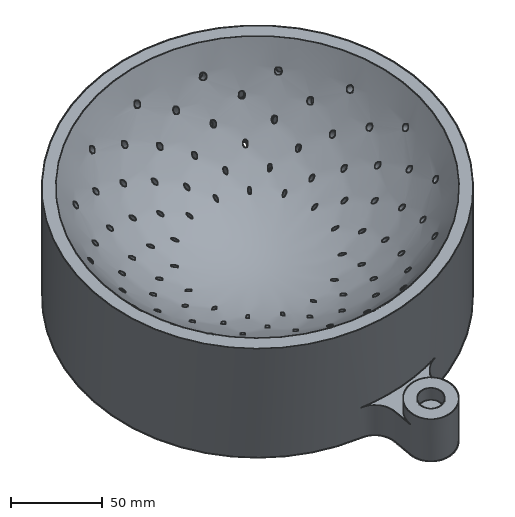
import cadquery as cq
import math

body_diameter = 235.0
body_height = 90.0
bowl_rim_diameter = 219.8
bowl_radius = 127.0
rim_radius = bowl_rim_diameter / 2
bowl_center_z = body_height + math.sqrt(bowl_radius**2 - rim_radius**2)

cavity_diameter = 225.0
bowl_thickness = 10.0

holes_per_ring = 15
ring_count = 6
first_ring_angle = 21.3
ring_angle_step = 6
hole_span = 2.3
hole_length = 4.5
hole_twist = -0.6
hole_overrun = 1.5

total_length = 274
ear_width = 30.5
ear_height = 25.0
boss_height = 34.8
boss_bore_diameter = 15.0
ear_fillet_radius = 15.0
ear_end_radius = ear_width / 2
body_radius = body_diameter / 2
boss_x = total_length - body_radius - ear_end_radius


def make_body():
    return cq.Workplane("XY").circle(body_radius).extrude(body_height)


def make_ear():
    """Rounded tongue that blends into the body wall with a concave arc on each side."""
    blend_y = ear_end_radius + ear_fillet_radius
    blend_x = math.sqrt((body_radius + ear_fillet_radius) ** 2 - blend_y**2)
    blend_angle = math.atan2(blend_y, blend_x)
    contact_x = body_radius * math.cos(blend_angle)
    contact_y = body_radius * math.sin(blend_angle)
    middle_angle = (math.pi + blend_angle + 1.5 * math.pi) / 2
    middle_x = blend_x + ear_fillet_radius * math.cos(middle_angle)
    middle_y = blend_y + ear_fillet_radius * math.sin(middle_angle)
    return (
        cq.Workplane("XY")
        .moveTo(0, -contact_y)
        .lineTo(contact_x, -contact_y)
        .threePointArc((middle_x, -middle_y), (blend_x, -ear_end_radius))
        .lineTo(boss_x, -ear_end_radius)
        .threePointArc((boss_x + ear_end_radius, 0), (boss_x, ear_end_radius))
        .lineTo(blend_x, ear_end_radius)
        .threePointArc((middle_x, middle_y), (contact_x, contact_y))
        .lineTo(0, contact_y)
        .close()
        .extrude(ear_height)
    )


def make_boss():
    return cq.Workplane("XY").center(boss_x, 0).circle(ear_end_radius).extrude(boss_height)


def make_boss_bore():
    """Blind bore whose floor is level with the top of the ear."""
    return (
        cq.Workplane("XY", origin=(boss_x, 0, ear_height))
        .circle(boss_bore_diameter / 2)
        .extrude(boss_height - ear_height)
    )


def make_ball(radius):
    """Ball about the centre of the bowl's curvature, above the body."""
    return cq.Workplane("XY", origin=(0, 0, bowl_center_z)).sphere(radius)


def make_cavity():
    """Hollow under the bowl, open at the bottom, that leaves the bowl an even thickness."""
    inside = cq.Workplane("XY").circle(cavity_diameter / 2).extrude(body_height)
    return inside.cut(make_ball(bowl_radius + bowl_thickness))


def make_hole(lean, turn):
    """Oval hole square to the bowl, leaning away from straight down and turned about Z (radians)."""
    axis = cq.Vector(
        math.sin(lean) * math.cos(turn),
        math.sin(lean) * math.sin(turn),
        -math.cos(lean),
    )
    sideways = cq.Vector(-math.sin(turn), math.cos(turn), 0)
    start = cq.Vector(0, 0, bowl_center_z) + axis * (bowl_radius - hole_overrun)
    hole_width = bowl_radius * math.sin(lean) * math.radians(hole_span)
    return (
        cq.Workplane(cq.Plane(start, sideways, axis))
        .ellipse(hole_width / 2, hole_length / 2)
        .extrude(bowl_thickness + 2 * hole_overrun)
        .val()
    )


def make_holes():
    """All rings of holes; every second ring is turned by half a step."""
    holes = []
    hole_step = 360 / holes_per_ring
    for ring in range(ring_count):
        lean = math.radians(first_ring_angle + ring * ring_angle_step)
        first_turn = hole_twist + hole_step / 2 * (ring % 2)
        for index in range(holes_per_ring):
            turn = math.radians(first_turn + index * hole_step)
            holes.append(make_hole(lean, turn))
    return holes


solid = make_body().union(make_ear()).union(make_boss())
solid = solid.cut(make_cavity()).cut(make_ball(bowl_radius)).cut(make_boss_bore())
result = cq.Workplane(obj=solid.val().cut(*make_holes())).solids()